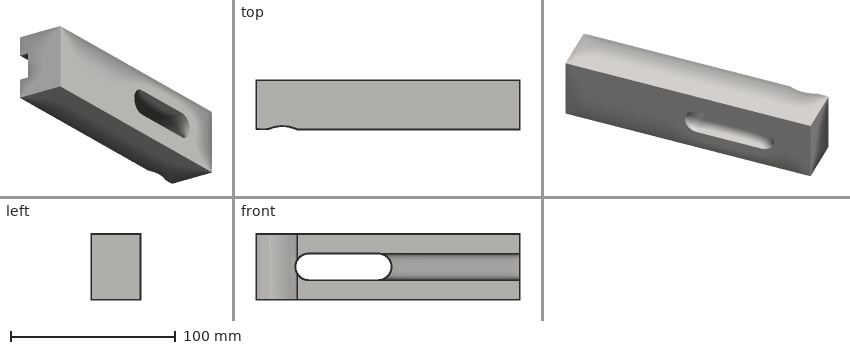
import cadquery as cq

length = 160.0
depth = 30.0
height = 40.0

nose_width = 7.8
nose_setback = 0.08
nose_rise = 0.4
relief_end = 25.0
relief_peak = 16.6
relief_depth = 2.0

slot_width = 16.0
slot_start = 23.8
slot_end = 82.0
groove_depth = 6.0


def make_body():
    """Extrude the block outline, including the toe curves, along Z."""
    return (
        cq.Workplane("XY")
        .moveTo(0, nose_rise)
        .threePointArc((nose_width / 2, nose_setback), (nose_width, nose_rise))
        .threePointArc((relief_peak, relief_depth), (relief_end, 0))
        .lineTo(length, 0)
        .lineTo(length, depth)
        .lineTo(0, depth)
        .close()
        .extrude(height / 2, both=True)
    )


def make_slot():
    """Round-ended slot through the full depth."""
    return (
        cq.Workplane("XZ")
        .center((slot_start + slot_end) / 2, 0)
        .slot2D(slot_end - slot_start, slot_width)
        .extrude(-depth)
    )


def make_groove():
    """Shallow groove from the middle of the slot to the +X end."""
    groove_start = (slot_start + slot_end) / 2
    return (
        cq.Workplane("XY")
        .box(length - groove_start, groove_depth, slot_width, centered=(False, False, True))
        .translate((groove_start, 0, 0))
    )


result = make_body().cut(make_slot()).cut(make_groove())